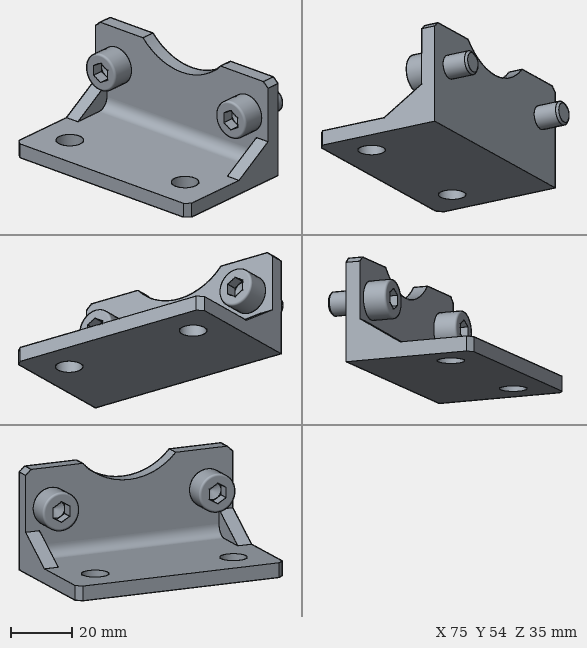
import cadquery as cq
import math

width = 75.0
depth = 45.0
height = 35.0
thickness = 5.0
corner_x = 2.0
corner_run = 1.8
inner_radius = 4.0
gusset_top = 13.95
gusset_reach = 19.5

relief_half_chord = 16.8
relief_depth = 7.35

hole_diameter = 9.0
hole_spacing = 50.0
hole_from_front = 12.9

screw_spacing = 56.55
screw_height = 21.7
shank_diameter = 8.0
shank_projection = 9.0
shank_chamfer = 0.75
head_diameter = 13.0
head_length = 8.0
head_round = 0.75
socket_flats = 6.0
socket_depth = 4.0
drill_point_angle = 120.0

upright_face = -thickness


def side_profile(points, x_start, length):
    """Extrude a closed YZ outline along +X."""
    return cq.Workplane("YZ").workplane(offset=x_start).polyline(points).close().extrude(length)


def cut_corners_outline(plane, far_end, sign):
    """Plate outline with both corners at its far end cut off."""
    half = width / 2
    shoulder = far_end - sign * corner_run
    return cq.Workplane(plane).polyline([
        (-half, 0),
        (half, 0),
        (half, shoulder),
        (half - corner_x, far_end),
        (-half + corner_x, far_end),
        (-half, shoulder),
    ]).close()


def make_bracket():
    base = cut_corners_outline("XY", -depth, -1).extrude(thickness)
    upright = cut_corners_outline("XZ", height, 1).extrude(thickness)
    body = base.union(upright)
    body = body.edges(cq.NearestToPointSelector((0, upright_face, thickness))).fillet(inner_radius)

    gusset = [
        (0, 0),
        (-gusset_reach, 0),
        (-gusset_reach, thickness),
        (upright_face, gusset_top),
        (0, gusset_top),
    ]
    for x_start in (-width / 2, width / 2 - thickness):
        body = body.union(side_profile(gusset, x_start, thickness))
    return body


def make_relief():
    radius = (relief_half_chord**2 + relief_depth**2) / (2 * relief_depth)
    center_z = height - relief_depth + radius
    return cq.Workplane("XZ").center(0, center_z).circle(radius).extrude(thickness)


def make_screw(x):
    """Screw along Y with its head seated on the front of the upright."""
    shank_length = thickness + shank_projection
    seat = cq.Workplane("XZ", origin=(x, upright_face, screw_height))
    shank = seat.circle(shank_diameter / 2).extrude(-shank_length).faces(">Y").chamfer(shank_chamfer)
    head = seat.circle(head_diameter / 2).extrude(head_length).faces("<Y").edges().fillet(head_round)

    socket_radius = socket_flats / math.sqrt(3)
    front = cq.Workplane("XZ", origin=(x, upright_face - head_length, screw_height))
    socket = (
        front.transformed(rotate=(0, 0, 90))
        .polygon(6, 2 * socket_radius)
        .extrude(-socket_depth)
    )
    point_radius = socket_flats / 2
    point_depth = point_radius / math.tan(math.radians(drill_point_angle / 2))
    drill_point = cq.Workplane(cq.Solid.makeCone(
        point_radius, 0, point_depth,
        pnt=cq.Vector(x, upright_face - head_length + socket_depth, screw_height),
        dir=cq.Vector(0, 1, 0),
    ))
    return shank.union(head).cut(socket).cut(drill_point)


result = make_bracket().cut(make_relief())

for side in (-1, 1):
    hole = (
        cq.Workplane("XY")
        .center(side * hole_spacing / 2, hole_from_front - depth)
        .circle(hole_diameter / 2)
        .extrude(thickness)
    )
    result = result.cut(hole)
    result = result.union(make_screw(side * screw_spacing / 2))